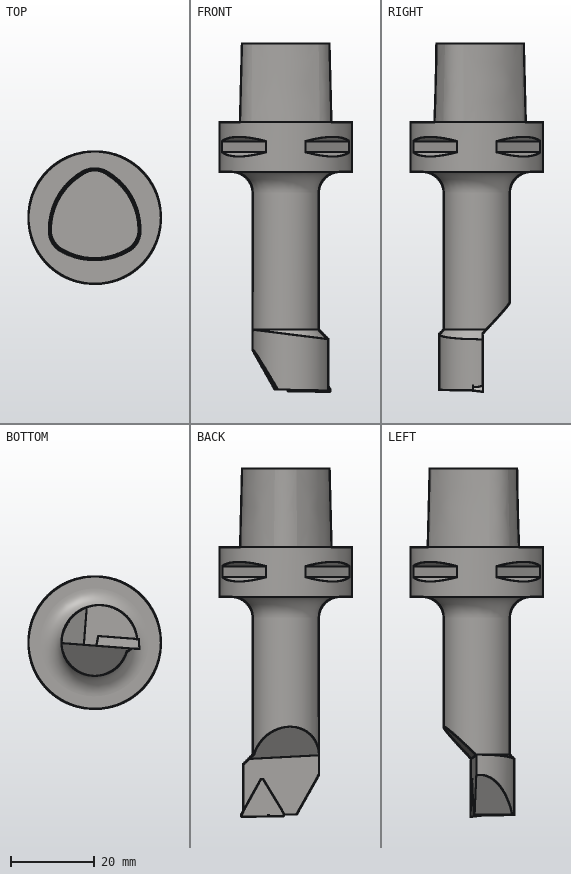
import cadquery as cq
import math


shank_length = 19.0
corner_count = 3
corner_centre_distance = 6.15
corner_radius = 5.72
side_centre_distance = 5.91
shank_taper = math.degrees(math.atan(1 / 40))

flange_diameter = 32.0
flange_height = 12.0
notch_count = 4
notch_depth = 1.85
notch_floor_height = 2.6
notch_wall_angle = 30.0
notch_centre_z = -5.9

bar_diameter = 16.0
bar_fillet = 5.0
head_top_z = -50.0

head_reach = 10.3
head_bottom_z = -64.45
head_bottom_tilt = 1.0

tip_z = -65.0
rake_angle = 4.4
rake_offset = 0.72
relief_start_z = -50.55
relief_slope_angle = 45.0
relief_side_tilt = 3.0
back_chamfer_top_z = -54.9
back_chamfer_angle = 29.5

insert_side = 11.0
insert_thickness = 2.38
insert_nose_radius = 0.4
insert_clearance = 7.0
insert_tip_x = 10.8
insert_tilt = 1.0

cut_reach = 30.0

flange_radius = flange_diameter / 2
bar_radius = bar_diameter / 2
head_radius = (head_reach + bar_radius) / 2
head_offset = head_reach - head_radius


def polar(radius, angle):
    return (radius * math.cos(math.radians(angle)), radius * math.sin(math.radians(angle)))


def on_tool_face(body):
    """Move a body from the frame whose XZ plane is the rake face into the part."""
    return body.rotate((0, 0, 0), (0, 0, 1), rake_angle).translate((0, rake_offset, 0))


def make_shank():
    sector = 360 / corner_count
    half_sector = sector / 2
    corner_centre = polar(corner_centre_distance, 0)
    side_centre = polar(side_centre_distance, 180 + half_sector)
    run = corner_centre[0] - side_centre[0]
    rise = corner_centre[1] - side_centre[1]
    side_radius = math.hypot(run, rise) + corner_radius
    joint_direction = polar(corner_radius, math.degrees(math.atan2(rise, run)))
    joint_x = corner_centre[0] + joint_direction[0]
    joint_y = corner_centre[1] + joint_direction[1]
    joint_distance = math.hypot(joint_x, joint_y)
    joint_angle = math.degrees(math.atan2(joint_y, joint_x))

    first_corner_angle = 90.0
    outline = cq.Workplane("XY").moveTo(*polar(joint_distance, first_corner_angle - joint_angle))
    for corner in range(corner_count):
        angle = first_corner_angle + corner * sector
        outline = outline.threePointArc(
            polar(corner_centre_distance + corner_radius, angle),
            polar(joint_distance, angle + joint_angle),
        ).threePointArc(
            polar(side_radius - side_centre_distance, angle + half_sector),
            polar(joint_distance, angle + sector - joint_angle),
        )
    return outline.close().extrude(shank_length, taper=shank_taper)


def make_flange_and_bar():
    fillet_end = -flange_height - bar_fillet
    fillet_middle = bar_fillet * (1 - math.sqrt(0.5))
    return (
        cq.Workplane("XZ")
        .lineTo(flange_radius, 0)
        .lineTo(flange_radius, -flange_height)
        .lineTo(bar_radius + bar_fillet, -flange_height)
        .threePointArc(
            (bar_radius + fillet_middle, -flange_height - fillet_middle),
            (bar_radius, fillet_end),
        )
        .lineTo(bar_radius, head_top_z)
        .lineTo(0, head_top_z)
        .close()
        .revolve(360, (0, 0, 0), (0, 1, 0))
    )


def make_notches():
    floor_radius = flange_radius - notch_depth
    wall_rise = notch_depth * math.tan(math.radians(notch_wall_angle))
    half_floor = notch_floor_height / 2
    notch = (
        cq.Workplane("XZ")
        .polyline([
            (floor_radius, notch_centre_z - half_floor),
            (flange_radius, notch_centre_z - half_floor - wall_rise),
            (flange_radius, notch_centre_z + half_floor + wall_rise),
            (floor_radius, notch_centre_z + half_floor),
        ])
        .close()
        .extrude(flange_radius, both=True)
    )
    spacing = 360 / notch_count
    notches = cq.Workplane("XY")
    for index in range(notch_count):
        notches = notches.add(notch.rotate((0, 0, 0), (0, 0, 1), (index + 0.5) * spacing))
    return notches.combine()


def make_head():
    """Offset cylinder with a 45 degree conical shoulder and a slightly tilted end face."""
    cylinder = (
        cq.Workplane("XY", origin=(*polar(head_offset, rake_angle), head_top_z))
        .circle(head_radius)
        .extrude(-cut_reach)
    )
    shoulder = (
        cq.Workplane("XZ")
        .polyline([
            (0, head_top_z),
            (bar_radius, head_top_z),
            (bar_radius + cut_reach, head_top_z - cut_reach),
            (0, head_top_z - cut_reach),
        ])
        .close()
        .revolve(360, (0, 0, 0), (0, 1, 0))
    )
    below = (
        cq.Workplane("XY")
        .box(2 * cut_reach, 2 * cut_reach, cut_reach, centered=(True, True, False))
        .translate((0, 0, -cut_reach))
        .rotate((0, 0, 0), (0, 1, 0), head_bottom_tilt)
        .translate((0, 0, head_bottom_z))
    )
    return cylinder.intersect(shoulder).cut(below)


def make_face_cut():
    """Space in front of the rake face, run out to the bar surface by a sloping plane."""
    slope_rise = cut_reach * math.tan(math.radians(relief_slope_angle))
    cut = (
        cq.Workplane("YZ")
        .polyline([(0, 0), (cut_reach, slope_rise), (cut_reach, -cut_reach), (0, -cut_reach)])
        .close()
        .extrude(cut_reach, both=True)
        .rotate((0, 0, 0), (0, 1, 0), relief_side_tilt)
        .translate((0, 0, relief_start_z))
    )
    return on_tool_face(cut)


def make_back_chamfer():
    run = cut_reach * math.tan(math.radians(back_chamfer_angle))
    cut = (
        cq.Workplane("XZ")
        .polyline([
            (-bar_radius, back_chamfer_top_z),
            (-bar_radius + run, back_chamfer_top_z - cut_reach),
            (-bar_radius - run, back_chamfer_top_z - cut_reach),
            (-bar_radius - run, back_chamfer_top_z),
        ])
        .close()
        .extrude(cut_reach, both=True)
    )
    return on_tool_face(cut)


def make_insert():
    """Triangular plate, its top flush with the rake face and its nose past the head's edges."""
    nose_centre_x = insert_tip_x - insert_nose_radius
    nose_centre_z = tip_z + insert_nose_radius
    side_between_centres = insert_side - 2 * math.sqrt(3) * insert_nose_radius
    top_corner = polar(side_between_centres, 120 - insert_tilt)
    back_corner = polar(side_between_centres, 180 - insert_tilt)
    plate = (
        cq.Workplane("XZ")
        .center(nose_centre_x, nose_centre_z)
        .polyline([(0, 0), top_corner, back_corner])
        .close()
        .offset2D(insert_nose_radius)
        .extrude(insert_thickness, taper=insert_clearance)
    )
    return on_tool_face(plate)


insert = make_insert()
holder = (
    make_flange_and_bar()
    .cut(make_notches())
    .union(make_shank())
    .union(make_head())
    .cut(make_face_cut())
    .cut(make_back_chamfer())
    .cut(insert)
)

result = cq.Compound.makeCompound([holder.solids().val(), insert.solids().val()])